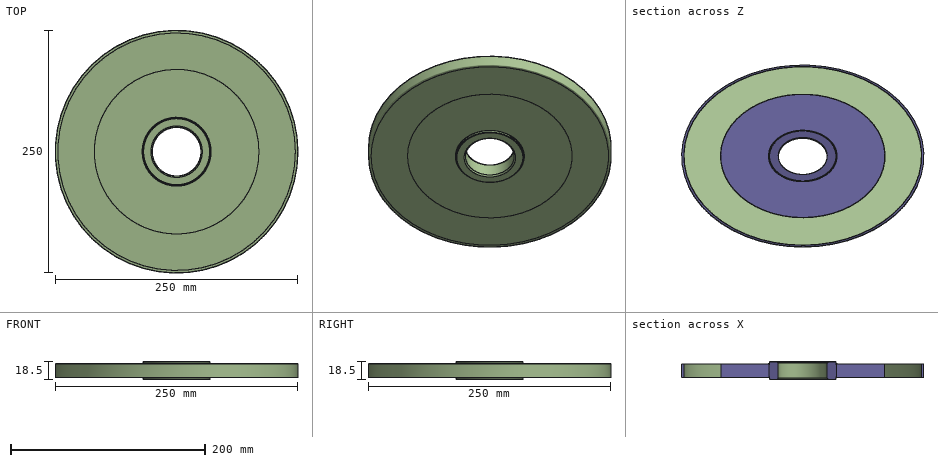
import cadquery as cq

wheel_diameter = 250.0
wheel_thickness = 14.5
bush_length = 18.5
bush_diameter = 69.0
bore_diameter = 50.0

cavity_inner_diameter = 169.5
cavity_outer_diameter = 244.5
cavity_skin = 0.5
cavity_height = wheel_thickness - 2 * cavity_skin

bore_chamfer = 1.5
bush_chamfer = 0.5
seat_diameter = 71.0
seat_chamfer = (seat_diameter - bush_diameter) / 2
rim_fillet = 0.8


def centred_disc(diameter, thickness):
    """Plain disc about the Z axis, centred on the XY plane."""
    return cq.Workplane("XY", origin=(0, 0, -thickness / 2)).circle(diameter / 2).extrude(thickness)


def centred_ring(outer_diameter, inner_diameter, thickness):
    """Plain ring about the Z axis, centred on the XY plane."""
    return centred_disc(outer_diameter, thickness).cut(centred_disc(inner_diameter, thickness))


def make_bush():
    """Bush standing proud of both wheel faces, with chamfered outer and bore edges."""
    bush = centred_ring(bush_diameter, bore_diameter, bush_length)
    smallest = cq.selectors.RadiusNthSelector(0)
    largest = cq.selectors.RadiusNthSelector(-1)
    bush = bush.edges("%CIRCLE").edges(largest).chamfer(bush_chamfer)
    return bush.edges("%CIRCLE").edges(smallest).chamfer(bore_chamfer)


def make_wheel():
    """Hollow wheel with a rounded rim and a chamfered seat for the bush."""
    wheel = centred_ring(wheel_diameter, bush_diameter, wheel_thickness)
    smallest = cq.selectors.RadiusNthSelector(0)
    largest = cq.selectors.RadiusNthSelector(-1)
    wheel = wheel.edges("%CIRCLE").edges(smallest).chamfer(seat_chamfer)
    wheel = wheel.edges("%CIRCLE").edges(largest).fillet(rim_fillet)
    return wheel.cut(centred_ring(cavity_outer_diameter, cavity_inner_diameter, cavity_height))


bush = make_bush()
wheel = make_wheel()

result = cq.Compound.makeCompound([wheel.val(), bush.val()])